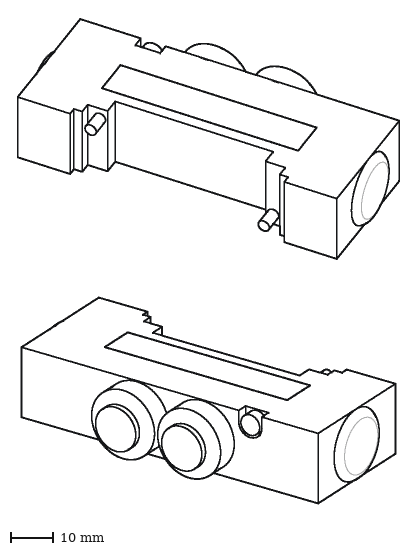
import cadquery as cq

total_length = 88.0
total_depth = 42.0
height = 18.5

cap_depth = 1.5
cap_center_y = 17.0
cap_face_diameter = 14.2

recess_steps = [(28.5, 2.0), (26.3, 4.9), (21.0, 9.0)]
step_roof_y = recess_steps[1][1]

knob_spacing = 18.9
knob_diameter = 18.0
knob_depth = 5.8
stem_diameter = 7.0
stem_depth = 1.6
button_diameter = 11.5
button_depth = 1.6

pin_x = 23.1
pin_z = 6.25
front_pin_diameter = 3.0
back_pin_diameter = 5.4
notch_width = 6.6
notch_depth = 2.9

panel_length = 52.3
panel_front_y = 12.1
panel_back_y = 21.8
panel_recess = 0.1

body_length = total_length - 2 * cap_depth
body_depth = total_depth - knob_depth - stem_depth - button_depth
top_z = height / 2


def centered_box(length, depth, box_height):
    """Box centred on X and Z that starts at Y = 0."""
    return cq.Workplane("XY").box(length, depth, box_height, centered=(True, False, True))


def cylinder_along_y(diameter, start_y, end_y, x, z):
    start = cq.Vector(x, start_y, z)
    length = end_y - start_y
    return cq.Workplane(cq.Solid.makeCylinder(diameter / 2, length, start, cq.Vector(0, 1, 0)))


def make_body():
    body = centered_box(body_length, body_depth, height)
    for half_width, roof_y in recess_steps:
        body = body.cut(centered_box(2 * half_width, roof_y, height))
    return body


def make_panel_recess():
    panel = centered_box(panel_length, panel_back_y - panel_front_y, 2 * panel_recess)
    return panel.translate((0, panel_front_y, top_z))


def make_end_cap(side):
    """Disc with a rounded rim on the side = -1 (left) or +1 (right) end."""
    rim_radius = height / 2
    face_radius = cap_face_diameter / 2
    base_x = side * body_length / 2
    face_x = side * total_length / 2
    profile = (
        cq.Workplane("XY")
        .moveTo(base_x, 0)
        .lineTo(face_x, 0)
        .lineTo(face_x, face_radius)
        .tangentArcPoint((base_x, rim_radius), relative=False)
        .close()
    )
    return profile.revolve(360, (0, 0, 0), (1, 0, 0)).translate((0, cap_center_y, 0))


def make_knob(x):
    knob_end = body_depth + knob_depth
    stem_end = knob_end + stem_depth
    knob = cylinder_along_y(knob_diameter, body_depth, knob_end, x, 0)
    stem = cylinder_along_y(stem_diameter, knob_end, stem_end, x, 0)
    button = cylinder_along_y(button_diameter, stem_end, total_depth, x, 0)
    return knob.union(stem).union(button)


def make_back_notch():
    """Slot open to the top and back, with a round bottom below the pin axis."""
    start_y = body_depth - notch_depth
    bottom = cylinder_along_y(notch_width, start_y, body_depth, -pin_x, pin_z)
    opening_height = top_z - pin_z
    opening = centered_box(notch_width, notch_depth, opening_height)
    return bottom.union(opening.translate((-pin_x, start_y, pin_z + opening_height / 2)))


result = make_body().cut(make_panel_recess()).cut(make_back_notch())
result = result.union(
    cylinder_along_y(back_pin_diameter, body_depth - notch_depth, body_depth, -pin_x, pin_z)
)
for side in (-1, 1):
    result = result.union(make_end_cap(side))
    result = result.union(make_knob(side * knob_spacing / 2))
    result = result.union(
        cylinder_along_y(front_pin_diameter, 0, step_roof_y, side * pin_x, -side * pin_z)
    )